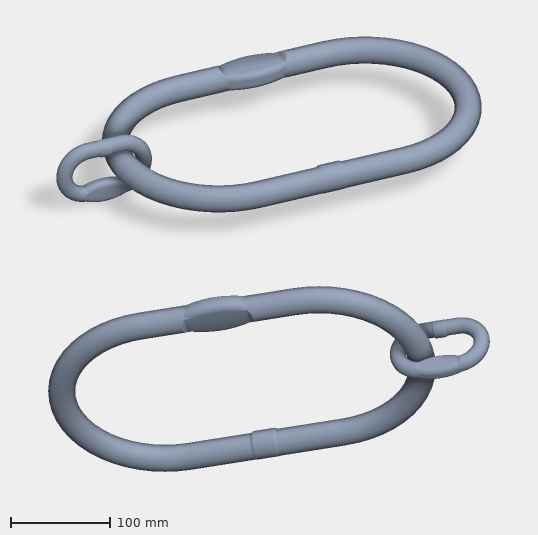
import cadquery as cq

TOTAL_LENGTH = 453.5

MASTER_WIRE = 27.0
MASTER_WIDTH = 235.0
MASTER_STRAIGHT = 159.5
MASTER_COLLAR_DIAMETER = 29.0
MASTER_COLLAR_LENGTH = 27.0
MASTER_COLLAR_TAPER = 2.5
MASTER_PAD_LENGTH = 65.5
MASTER_PAD_WIDTH = 38.0
MASTER_PAD_END_WIDTH = 25.5
MASTER_PAD_THICKNESS = 19.0
MASTER_PAD_ROUNDING = 6.5
MASTER_RAMP = 4.0

SMALL_WIRE = 16.5
SMALL_WIDTH = 67.0
SMALL_STRAIGHT = 36.0
SMALL_COLLAR_DIAMETER = 17.5
SMALL_COLLAR_LENGTH = 13.0
SMALL_COLLAR_TAPER = 1.5
SMALL_PAD_LENGTH = 40.5
SMALL_PAD_WIDTH = 23.5
SMALL_PAD_END_WIDTH = 16.5
SMALL_PAD_THICKNESS = 13.5
SMALL_PAD_ROUNDING = 5.0
SMALL_RAMP = 2.5


def oval_ring(wire, width, straight):
    """Round wire bent into an oval in XY, with its straight legs along Y."""
    bend = (width - wire) / 2
    half = straight / 2
    path = (
        cq.Workplane("XY")
        .moveTo(bend, -half)
        .lineTo(bend, half)
        .threePointArc((0, half + bend), (-bend, half))
        .lineTo(-bend, -half)
        .threePointArc((0, -half - bend), (bend, -half))
        .close()
    )
    start = cq.Workplane("XZ", origin=(bend, -half, 0))
    return start.circle(wire / 2).sweep(path)


def weld_collar(wire, diameter, length, taper, leg_x):
    """Raised band, flush with the outer side of the leg, tapering to the wire at both ends."""
    end = length / 2
    crown_end = end - taper
    crown_x = leg_x - (diameter - wire) / 2
    crown = (
        cq.Workplane("XZ", origin=(crown_x, crown_end, 0))
        .circle(diameter / 2)
        .extrude(2 * crown_end)
    )
    taper_end = (
        cq.Workplane("XZ", origin=(crown_x, -crown_end, 0))
        .circle(diameter / 2)
        .workplane(offset=taper)
        .center(leg_x - crown_x, 0)
        .circle(wire / 2)
        .loft(ruled=True)
    )
    return crown.union(taper_end).union(taper_end.mirror("XZ"))


def flat_cut(wire, length, thickness, ramp, leg_x):
    """Material above one flat of the pad, with a sloping ramp at each end."""
    flat = thickness / 2
    half = length / 2
    return (
        cq.Workplane("YZ", origin=(leg_x - wire / 2, 0, 0))
        .polyline([
            (-half, flat),
            (half, flat),
            (half + ramp, wire / 2),
            (-half - ramp, wire / 2),
        ])
        .close()
        .extrude(wire)
    )


def pad(length, width, end_width, thickness, rounding, leg_x):
    """Swollen flat pad with two bowed sides and rounded long edges."""
    half = length / 2
    return (
        cq.Workplane("XY", origin=(leg_x, 0, -thickness / 2))
        .moveTo(-end_width / 2, -half)
        .lineTo(end_width / 2, -half)
        .threePointArc((width / 2, 0), (end_width / 2, half))
        .lineTo(-end_width / 2, half)
        .threePointArc((-width / 2, 0), (-end_width / 2, -half))
        .close()
        .extrude(thickness)
        .edges("%CIRCLE")
        .fillet(rounding)
    )


def make_link(wire, width, straight, collar_size, pad_size, ramp):
    """Oval link with its collar on the +X leg and its pad on the -X leg."""
    leg_x = (width - wire) / 2
    pad_length, pad_width, pad_end_width, pad_thickness, pad_rounding = pad_size
    link_pad = pad(pad_length, pad_width, pad_end_width, pad_thickness, pad_rounding, -leg_x)
    cut = flat_cut(wire, pad_length, pad_thickness, ramp, -leg_x)
    return (
        oval_ring(wire, width, straight)
        .union(weld_collar(wire, *collar_size, leg_x))
        .cut(cut)
        .cut(cut.mirror("XY"))
        .union(link_pad)
    )


master_link = make_link(
    MASTER_WIRE,
    MASTER_WIDTH,
    MASTER_STRAIGHT,
    (MASTER_COLLAR_DIAMETER, MASTER_COLLAR_LENGTH, MASTER_COLLAR_TAPER),
    (
        MASTER_PAD_LENGTH,
        MASTER_PAD_WIDTH,
        MASTER_PAD_END_WIDTH,
        MASTER_PAD_THICKNESS,
        MASTER_PAD_ROUNDING,
    ),
    MASTER_RAMP,
)

master_length = MASTER_STRAIGHT + MASTER_WIDTH
small_length = SMALL_STRAIGHT + SMALL_WIDTH
small_y = master_length / 2 - TOTAL_LENGTH + small_length / 2
small_link = make_link(
    SMALL_WIRE,
    SMALL_WIDTH,
    SMALL_STRAIGHT,
    (SMALL_COLLAR_DIAMETER, SMALL_COLLAR_LENGTH, SMALL_COLLAR_TAPER),
    (
        SMALL_PAD_LENGTH,
        SMALL_PAD_WIDTH,
        SMALL_PAD_END_WIDTH,
        SMALL_PAD_THICKNESS,
        SMALL_PAD_ROUNDING,
    ),
    SMALL_RAMP,
)
small_link = small_link.rotate((0, 0, 0), (0, 1, 0), -90).translate((0, small_y, 0))

result = cq.Compound.makeCompound([master_link.val(), small_link.val()])